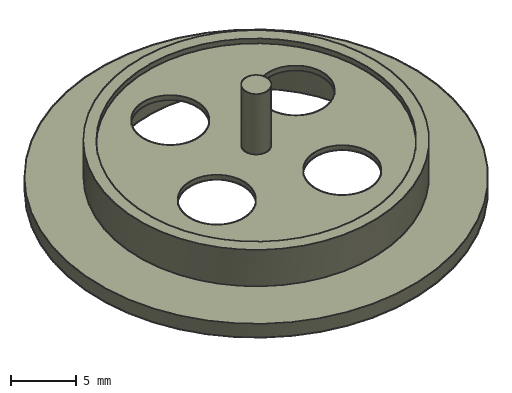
import cadquery as cq

flange_diameter = 35.5
flange_thickness = 1.4
total_height = 10.5

rim_diameter = 26.5
rim_inner_diameter = 24.5
rim_top = 5.0
recess_depth = 0.5
web_thickness = 0.5

pin_diameter = 2.3
hole_diameter = 6.0
hole_circle_radius = 7.25
hole_count = 4

web_top = rim_top - recess_depth
web_bottom = web_top - web_thickness


def cylinder(diameter, bottom, top):
    """Upright cylinder on the Z axis between two heights."""
    return cq.Workplane("XY").workplane(offset=bottom).circle(diameter / 2).extrude(top - bottom)


body = cylinder(flange_diameter, 0, flange_thickness)
body = body.union(cylinder(rim_diameter, 0, rim_top))

body = body.cut(cylinder(rim_inner_diameter, web_top, rim_top))
body = body.cut(cylinder(rim_inner_diameter, 0, web_bottom))

holes = (
    cq.Workplane("XY")
    .workplane(offset=web_bottom)
    .polarArray(hole_circle_radius, 0, 360, hole_count)
    .circle(hole_diameter / 2)
    .extrude(web_thickness)
)
body = body.cut(holes)

result = body.union(cylinder(pin_diameter, web_bottom, total_height))